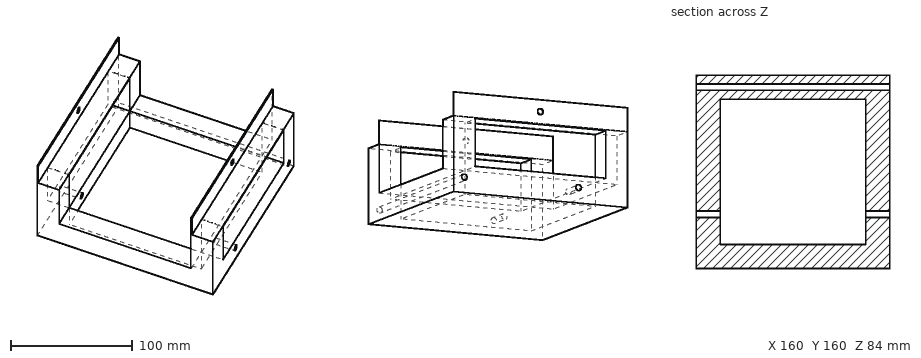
import cadquery as cq

length = 160.0
width = 160.0
height = 84.0

rim_width = 20.0
rim_height = 23.0
floor_thickness = 3.0

flange_thickness = 1.0

shelf_height = 64.0
window_top = shelf_height - flange_thickness

hole_diameter = 5.0
flange_hole_z = height - rim_width / 2
rim_hole_z = 13.0
rim_hole_back_y = (width - rim_width) / 2
rim_hole_spacing = 105.0
hole_positions = [
    (0.0, flange_hole_z),
    (rim_hole_back_y, rim_hole_z),
    (rim_hole_back_y - rim_hole_spacing, rim_hole_z),
]

inner_length = length - 2 * rim_width
inner_width = width - 2 * rim_width
left_face_x = -length / 2
right_inner_x = length / 2 - rim_width


def block(x_min, x_size, y_size, z_min, z_max):
    """Box starting at x_min, centred in Y and spanning z_min to z_max."""
    return (
        cq.Workplane("XY")
        .box(x_size, y_size, z_max - z_min, centered=(False, True, False))
        .translate((x_min, 0, z_min))
    )


def tray():
    """Square base with a rectangular pocket leaving the rim and floor."""
    base = block(left_face_x, length, width, 0, rim_height)
    pocket = block(left_face_x + rim_width, inner_length, inner_width, floor_thickness, rim_height)
    return base.cut(pocket)


def side_frame(x_min):
    """Windowed frame with a thin flange on its -X face."""
    frame = block(x_min, rim_width, width, rim_height, shelf_height)
    flange = block(x_min, flange_thickness, width, rim_height, height)
    window = block(x_min, rim_width, inner_width, rim_height, window_top)
    return frame.union(flange).cut(window)


def mounting_holes():
    """Cylinders along X through the whole part."""
    return (
        cq.Workplane("YZ", origin=(left_face_x, 0, 0))
        .pushPoints(hole_positions)
        .circle(hole_diameter / 2)
        .extrude(length)
    )


body = tray()
body = body.union(side_frame(left_face_x))
body = body.union(side_frame(right_inner_x))
result = body.cut(mounting_holes())